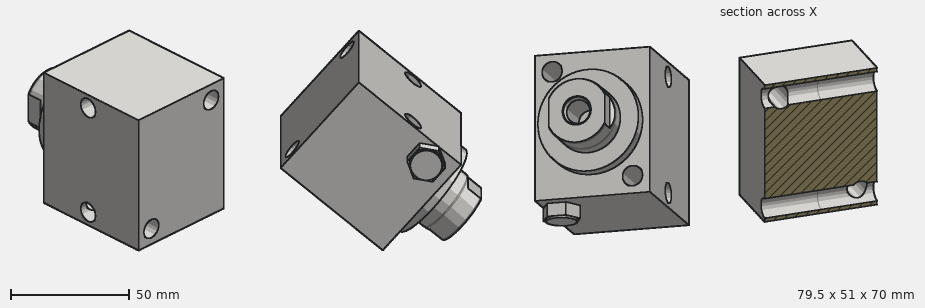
import cadquery as cq
import math

overall_length = 79.5
block_length = 56.9
block_width = 50.8
block_height = 63.5
block_front = overall_length - block_length

flange_diameter = 44.45
flange_thickness = 6.05

rod_radius = 14.2
head_radius = 14.1
tip_radius = 13.8
tip_chamfer_length = 0.9
head_length = 9.3
step_length = 0.6

flat_spacing = 24.65
flat_length = 7.5

bore_diameter = 10.25
bore_mouth_diameter = 12.65
bore_depth = 19.9
bore_edge_chamfer = 0.3
bore_cone_end = 2.2

hole_diameter = 8.8
cross_hole_x = 49.3
cross_hole_inset = 6.35
long_hole_inset = 7.6

plug_x = 35.1
hex_across_flats = 14.15
hex_across_corners = hex_across_flats / math.cos(math.pi / 6)
hex_overhang = 0.15
plug_height = 6.5
cone_height = 0.9
cone_end_radius = 6.7
hex_height = plug_height - cone_height
plug_y = block_width / 2 + hex_overhang - hex_across_corners / 2


def revolve_about_x(profile):
    """Revolve a closed (x, radius) outline about the X axis."""
    return cq.Workplane("XY").polyline(profile).close().revolve(360, (0, 0, 0), (1, 0, 0))


def make_block():
    return cq.Workplane("XY").box(block_length, block_width, block_height).translate(
        (block_front + block_length / 2, 0, 0)
    )


def make_flange_and_rod():
    flange_front = block_front - flange_thickness
    return revolve_about_x([
        (0, 0),
        (0, tip_radius),
        (tip_chamfer_length, head_radius),
        (head_length, head_radius),
        (head_length + step_length, rod_radius),
        (flange_front, rod_radius),
        (flange_front, flange_diameter / 2),
        (block_front, flange_diameter / 2),
        (block_front, 0),
    ])


def make_flat_cutter(side):
    """Prism that removes one wrench flat; side is +1 or -1 along Y."""
    flat_y = flat_spacing / 2
    ramp = rod_radius - flat_y
    return (
        cq.Workplane("XY")
        .workplane(offset=-rod_radius)
        .polyline([
            (0, side * flat_y),
            (flat_length, side * flat_y),
            (flat_length + ramp, side * rod_radius),
            (0, side * rod_radius),
        ])
        .close()
        .extrude(2 * rod_radius)
    )


def make_bore():
    return revolve_about_x([
        (0, 0),
        (0, bore_mouth_diameter / 2),
        (bore_edge_chamfer, bore_mouth_diameter / 2 - bore_edge_chamfer),
        (bore_cone_end, bore_diameter / 2),
        (bore_depth, bore_diameter / 2),
        (bore_depth, 0),
    ])


def make_plug():
    hexagon = (
        cq.Workplane("XY")
        .polygon(6, hex_across_corners)
        .extrude(-hex_height)
        .rotate((0, 0, 0), (0, 0, 1), 90)
    )
    cone = cq.Workplane("XY").add(
        cq.Solid.makeCone(
            hex_across_flats / 2,
            cone_end_radius,
            cone_height,
            pnt=cq.Vector(0, 0, -hex_height),
            dir=cq.Vector(0, 0, -1),
        )
    )
    return hexagon.union(cone).translate((plug_x, plug_y, -block_height / 2))


def make_cross_hole(side):
    """Hole through the block along Y, near the top (+1) or bottom (-1)."""
    z = side * (block_height / 2 - cross_hole_inset)
    return (
        cq.Workplane("XZ", origin=(cross_hole_x, 0, z))
        .circle(hole_diameter / 2)
        .extrude(block_width, both=True)
    )


def make_long_hole(side):
    """Hole through the block along X, at one of two diagonally opposite corners."""
    y = side * (block_width / 2 - long_hole_inset)
    z = side * (block_height / 2 - long_hole_inset)
    return (
        cq.Workplane("YZ", origin=(block_front, y, z))
        .circle(hole_diameter / 2)
        .extrude(block_length)
    )


rod = make_flange_and_rod().cut(make_bore())
for side in (1, -1):
    rod = rod.cut(make_flat_cutter(side))

block = make_block()
for side in (1, -1):
    block = block.cut(make_cross_hole(side)).cut(make_long_hole(side))

result = block.union(rod).union(make_plug())